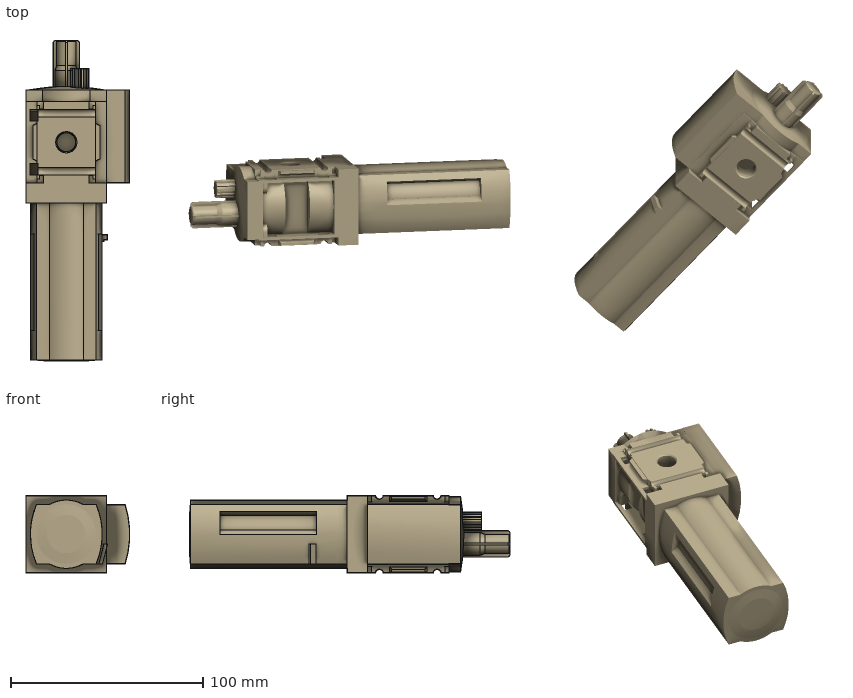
import cadquery as cq
import math

BODY_HALF_X = 21.0
BODY_HALF_Z = 20.1
BODY_FRONT_Y = -31.7
CAP_TOP_Y = 27.2
CAP_JOINT_Y = 21.2
END_BLOCK_Y = -21.1
SHELF_Z = 15.8
SLAB_HALF_Z = 15.3

CAP_RADIUS = 19.6
DOME_RISE = 1.8

MODULE_HALF_Z = 15.45
MODULE_EDGE_X = 30.6
MODULE_CROWN_X = 33.0

PLATE_HALF_X = 15.3
GROOVE_Y = 15.0
GROOVE_RADIUS = 2.0
GROOVE_DEPTH = 1.8
PORT_DIAMETER = 9.8
PORT_DEPTH = 10.0
PORT_CHAMFER = 0.6
CORNER_INNER_X = 11.8
CORNER_INNER_Y = 17.2
CORNER_FLOOR_Z = 16.8
POST_INNER_X = 14.0
POST_OUTER_Y = 19.0
TAB_HALF_Y = 9.8
TAB_REACH = 2.1
TAB_BASE_Z = 17.0
TAB_TOP_Z = 19.6
TAB_TAPER = 1.2

WINDOW_HALF_Y = 19.1
WINDOW_HALF_Z = 14.3
WINDOW_FLOOR_X = -10.8
CORE_RADIUS = 18.9
SLOT_HALF_Y = 6.5
PEG_END_Y = 16.2
PEG_LOW_Z = 7.8
PEG_FACE_X = -19.5
PEG_ROUND = 4.0
OPENING_X = (-18.85, -14.8)
OPENING_Y = (11.0, 17.1)

BARREL_END_Y = -113.25
TIP_Y = -113.7
BARREL_CORNER_X = 15.5
BARREL_FLAT_Z = 15.4
BARREL_CROWN_X = 18.65
BARREL_ROUND_RADIUS = 17.75
TIP_BASE_RADIUS = 15.5
TIP_FACE_RADIUS = 10.0
SIGHT_Y = (-97.8, -47.7)
SIGHT_OUTER_Z = (-0.3, 12.6)
SIGHT_INNER_Z = (2.2, 9.6)
SIGHT_INNER_X = 11.5
SIGHT_RIM_X = 18.7
BOWL_RADIUS = 15.5

LATCH_TOP_Z = -5.2
LATCH_TOP_X = 21.4
LATCH_LOW_X = 18.8
LATCH_ROOT = 3.5
LATCH_STEP = 1.9
LATCH_Y = (-50.7, -48.0)
LATCH_BASE_END_Y = -51.7

SHAFT_END_Y = 52.9
SHAFT_Z = -5.0
SHAFT_RADIUS = 5.0
SHAFT_CHAMFER = 0.5
COLLAR_RADIUS = 6.0
COLLAR_Y = 37.2
COLLAR_TAPER_END_Y = 39.8
RIB_REACH = 6.9
RIB_WIDTH = 1.0
RIB_CHAMFER = 1.0

KNOB_X = 7.0
KNOB_Z = 7.0
KNOB_END_Y = 38.2
KNOB_RADIUS = 4.75
KNOB_ROOT_RADIUS = 3.9
KNOB_TEETH = 10
TOOTH_TIP_SHARE = 0.2
TOOTH_ROOT_SHARE = 0.3


def block(x_range, y_range, z_range):
    """Axis-aligned box between the given limits, in any order."""
    low, high = zip(*(sorted(r) for r in (x_range, y_range, z_range)))
    size = [b - a for a, b in zip(low, high)]
    return cq.Workplane("XY").box(*size, centered=False).translate(low)


def section_at(y):
    """Plane across the part axis: local x is X, local y is Z, extruding toward -Y."""
    return cq.Workplane("XZ", origin=(0, y, 0))


def rod(radius, y_low, y_high):
    """Round bar on the main Y axis."""
    return section_at(y_high).circle(radius).extrude(y_high - y_low)


def with_mirror(shape, plane):
    return shape.union(shape.mirror(plane))


def symmetric(half_width):
    return (-half_width, half_width)


def make_body():
    across = symmetric(BODY_HALF_X)
    core = block(across, (END_BLOCK_Y, CAP_JOINT_Y), symmetric(SHELF_Z))
    end_block = block(across, (BODY_FRONT_Y, END_BLOCK_Y), symmetric(BODY_HALF_Z))
    return core.union(end_block)


def make_cap():
    slab = block(symmetric(BODY_HALF_X), (CAP_JOINT_Y, CAP_TOP_Y), symmetric(SLAB_HALF_Z))
    sphere_radius = (CAP_RADIUS**2 + DOME_RISE**2) / (2 * DOME_RISE)
    apex_y = CAP_TOP_Y + DOME_RISE
    mid_radius = CAP_RADIUS / 2
    mid_y = apex_y - sphere_radius + math.sqrt(sphere_radius**2 - mid_radius**2)
    domed_disc = (
        cq.Workplane("XY")
        .moveTo(0, CAP_JOINT_Y)
        .lineTo(CAP_RADIUS, CAP_JOINT_Y)
        .lineTo(CAP_RADIUS, CAP_TOP_Y)
        .threePointArc((mid_radius, mid_y), (0, apex_y))
        .close()
        .revolve(360, (0, 0, 0), (0, 1, 0))
    )
    return slab.union(domed_disc)


def make_side_module():
    return (
        section_at(CAP_TOP_Y)
        .moveTo(BODY_HALF_X, -MODULE_HALF_Z)
        .lineTo(MODULE_EDGE_X, -MODULE_HALF_Z)
        .threePointArc((MODULE_CROWN_X, 0), (MODULE_EDGE_X, MODULE_HALF_Z))
        .lineTo(BODY_HALF_X, MODULE_HALF_Z)
        .close()
        .extrude(CAP_TOP_Y - END_BLOCK_Y)
    )


def make_tab():
    """Tapered catch on the +X edge of the upper plate, flat on top."""
    root_x = PLATE_HALF_X
    tip_x = root_x + TAB_REACH
    height = TAB_TOP_Z - TAB_BASE_Z
    root = cq.Workplane("YZ", origin=(root_x, 0, 0)).center(0, TAB_BASE_Z + height / 2)
    tip_height = height - TAB_TAPER
    return (
        root.rect(2 * TAB_HALF_Y, height)
        .workplane(offset=tip_x - root_x)
        .center(0, TAB_TAPER / 2)
        .rect(2 * (TAB_HALF_Y - TAB_TAPER), tip_height)
        .loft(combine=True)
    )


def make_corner_pocket():
    """L-shaped pocket in the +X +Y corner of the upper plate, leaving a post."""
    heights = (CORNER_FLOOR_Z, BODY_HALF_Z)
    pocket = block((CORNER_INNER_X, PLATE_HALF_X), (CORNER_INNER_Y, CAP_JOINT_Y), heights)
    post = block((POST_INNER_X, PLATE_HALF_X), (CORNER_INNER_Y, POST_OUTER_Y), heights)
    return pocket.cut(post)


def make_port_plate():
    plate = block(symmetric(PLATE_HALF_X), (END_BLOCK_Y, CAP_JOINT_Y), (SHELF_Z, BODY_HALF_Z))
    plate = plate.union(with_mirror(make_tab(), "YZ"))
    groove_axis_z = BODY_HALF_Z - GROOVE_DEPTH + GROOVE_RADIUS
    groove = (
        cq.Workplane("YZ", origin=(-PLATE_HALF_X, 0, 0))
        .center(GROOVE_Y, groove_axis_z)
        .circle(GROOVE_RADIUS)
        .extrude(2 * PLATE_HALF_X)
    )
    corners = with_mirror(make_corner_pocket(), "YZ")
    return plate.cut(with_mirror(groove, "XZ")).cut(with_mirror(corners, "XZ"))


def make_port():
    radius = PORT_DIAMETER / 2
    bore = cq.Workplane("XY", origin=(0, 0, BODY_HALF_Z)).circle(radius).extrude(-PORT_DEPTH)
    mouth = (
        cq.Workplane("XY", origin=(0, 0, BODY_HALF_Z))
        .circle(radius + PORT_CHAMFER)
        .workplane(offset=-PORT_CHAMFER)
        .circle(radius)
        .loft(combine=True)
    )
    return bore.union(mouth)


def make_peg():
    """Rounded peg in the upper +Y corner of the window."""
    peg = block(
        (PEG_FACE_X, WINDOW_FLOOR_X), (PEG_END_Y, WINDOW_HALF_Y), (PEG_LOW_Z, WINDOW_HALF_Z)
    )
    return peg.edges("<X and <Z").fillet(PEG_ROUND)


def make_window():
    """Space to remove: a recess around a slotted round core, less two pegs."""
    recess = block(
        (-BODY_HALF_X, WINDOW_FLOOR_X), symmetric(WINDOW_HALF_Y), symmetric(WINDOW_HALF_Z)
    )
    core = rod(CORE_RADIUS, SLOT_HALF_Y, WINDOW_HALF_Y)
    pegs = with_mirror(make_peg(), "XY")
    opening = block(OPENING_X, OPENING_Y, (0, BODY_HALF_Z))
    openings = with_mirror(with_mirror(opening, "XZ"), "XY")
    return recess.union(openings).cut(with_mirror(core, "XZ")).cut(pegs)


def make_barrel():
    length = BODY_FRONT_Y - BARREL_END_Y
    sides = (
        section_at(BODY_FRONT_Y)
        .moveTo(-BARREL_CORNER_X, -BARREL_FLAT_Z)
        .lineTo(BARREL_CORNER_X, -BARREL_FLAT_Z)
        .threePointArc((BARREL_CROWN_X, 0), (BARREL_CORNER_X, BARREL_FLAT_Z))
        .lineTo(-BARREL_CORNER_X, BARREL_FLAT_Z)
        .threePointArc((-BARREL_CROWN_X, 0), (-BARREL_CORNER_X, -BARREL_FLAT_Z))
        .close()
        .extrude(length)
    )
    tip = (
        section_at(BARREL_END_Y)
        .circle(TIP_BASE_RADIUS)
        .workplane(offset=BARREL_END_Y - TIP_Y)
        .circle(TIP_FACE_RADIUS)
        .loft(combine=True)
    )
    return sides.union(rod(BARREL_ROUND_RADIUS, BARREL_END_Y, BODY_FRONT_Y)).union(tip)


def make_sight_recess():
    """Slope-walled recess in the -X side of the barrel, down to the round bowl."""
    outer_low, outer_high = SIGHT_OUTER_Z
    inner_low, inner_high = SIGHT_INNER_Z
    y_low, y_high = SIGHT_Y
    recess = (
        section_at(y_high)
        .moveTo(-SIGHT_RIM_X, outer_low)
        .lineTo(-BOWL_RADIUS, inner_low)
        .lineTo(-SIGHT_INNER_X, inner_low)
        .lineTo(-SIGHT_INNER_X, inner_high)
        .lineTo(-SIGHT_RIM_X, outer_high)
        .close()
        .extrude(y_high - y_low)
    )
    return recess.cut(rod(BOWL_RADIUS, y_low, y_high))


def make_latch():
    """Slanted catch on the barrel: a narrow nose on a longer, lower base."""
    def layer(setback, y_low, y_high):
        return (
            section_at(y_high)
            .moveTo(LATCH_TOP_X - LATCH_ROOT, LATCH_TOP_Z)
            .lineTo(LATCH_TOP_X - setback, LATCH_TOP_Z)
            .lineTo(LATCH_LOW_X - setback, -BARREL_FLAT_Z)
            .lineTo(LATCH_LOW_X - LATCH_ROOT, -BARREL_FLAT_Z)
            .close()
            .extrude(y_high - y_low)
        )

    y_low, y_high = LATCH_Y
    return layer(0, y_low, y_high).union(layer(LATCH_STEP, LATCH_BASE_END_Y, y_high))


def make_shaft():
    """Round shaft with a wider collar at its foot and four ribs in a cross."""
    core = (
        cq.Workplane("XY")
        .moveTo(0, CAP_TOP_Y)
        .lineTo(COLLAR_RADIUS, CAP_TOP_Y)
        .lineTo(COLLAR_RADIUS, COLLAR_Y)
        .lineTo(SHAFT_RADIUS, COLLAR_TAPER_END_Y)
        .lineTo(SHAFT_RADIUS, SHAFT_END_Y - SHAFT_CHAMFER)
        .lineTo(SHAFT_RADIUS - SHAFT_CHAMFER, SHAFT_END_Y)
        .lineTo(0, SHAFT_END_Y)
        .close()
        .revolve(360, (0, 0, 0), (0, 1, 0))
    )
    ends = (CAP_TOP_Y, SHAFT_END_Y)
    rib_pair = block(symmetric(RIB_REACH), ends, symmetric(RIB_WIDTH / 2))
    rib_pair = rib_pair.edges("|Z and >Y").chamfer(RIB_CHAMFER)
    cross_pair = rib_pair.rotate((0, 0, 0), (0, 1, 0), 90)
    return core.union(rib_pair).union(cross_pair).translate((0, 0, SHAFT_Z))


def make_knob():
    pitch = 2 * math.pi / KNOB_TEETH
    outline = []
    for tooth in range(KNOB_TEETH):
        for radius, share in (
            (KNOB_ROOT_RADIUS, -TOOTH_ROOT_SHARE),
            (KNOB_RADIUS, -TOOTH_TIP_SHARE),
            (KNOB_RADIUS, TOOTH_TIP_SHARE),
            (KNOB_ROOT_RADIUS, TOOTH_ROOT_SHARE),
        ):
            angle = (tooth + share) * pitch
            outline.append((radius * math.cos(angle), radius * math.sin(angle)))
    knob = section_at(KNOB_END_Y).polyline(outline).close().extrude(KNOB_END_Y - CAP_TOP_Y)
    return knob.translate((KNOB_X, 0, KNOB_Z))


result = make_body().union(make_cap()).union(make_side_module())
result = result.union(with_mirror(make_port_plate(), "XY"))
result = result.cut(with_mirror(make_port(), "XY"))
result = result.cut(make_window())
result = result.union(make_barrel()).union(make_latch())
result = result.cut(with_mirror(make_sight_recess(), "YZ"))
result = result.union(make_shaft()).union(make_knob())